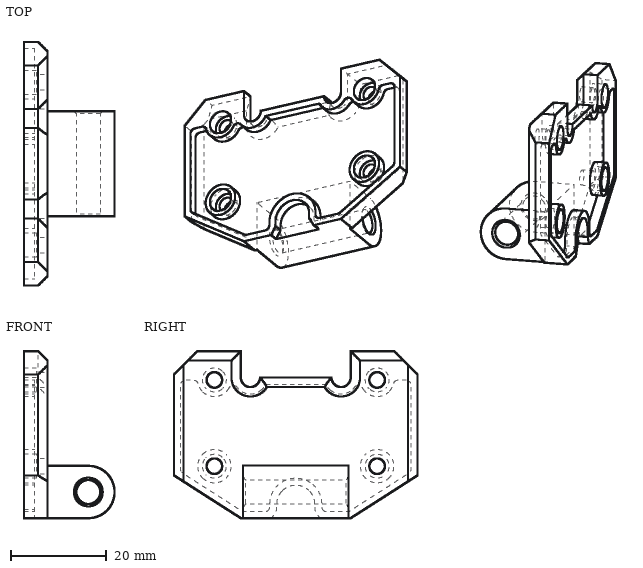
import cadquery as cq
import math

TOLERANCE = 0.05

WIDTH = 51.0
HEIGHT = 35.0
THICKNESS = 5.0
BACK_CHAMFER = 2.0
TOP_CORNER = 4.9
SIDE_BOTTOM_Z = 9.0
BOTTOM_HALF_WIDTH = 11.5

NOTCH_HALF_WIDTH = 11.5
NOTCH_FLOOR_Z = 29.5
RELIEF_RADIUS = 2.0
RELIEF_Y = NOTCH_HALF_WIDTH - RELIEF_RADIUS

POCKET_DEPTH = 2.25
RIM = 1.4
NOTCH_WALL = 1.5
POCKET_TOP_Z = 28.9
POCKET_CORNER_RADIUS = 1.0

HOLE_Y = 17.05
UPPER_HOLE_Z = 28.95
LOWER_HOLE_Z = 10.9
HOLE_DIAMETER = 3.2
COUNTERBORE_DIAMETER = 5.0
COUNTERBORE_DEPTH = 2.65
BOSS_DIAMETER = 7.0

LUG_LENGTH = 19.0
LUG_RADIUS = 5.5
LUG_WIDTH = 22.0
PIN_DIAMETER = 5.0
PIN_CHAMFER = 0.5

ARCH_RADIUS = 4.0
ARCH_CENTER_Z = 2.95
ARCH_FLARE_Z = 1.85
ARCH_MOUTH_HALF_WIDTH = 5.05

SCREW_POINTS = [(y, z) for y in (-HOLE_Y, HOLE_Y) for z in (LOWER_HOLE_Z, UPPER_HOLE_Z)]


def plane_at(x):
    """YZ sketch plane at the given distance behind the front face."""
    return cq.Workplane("YZ", origin=(x, 0, 0))


def block(y_min, y_max, z_min, z_max, depth):
    """Rectangular block starting at the front face."""
    shape = cq.Workplane("XY").box(depth, y_max - y_min, z_max - z_min, centered=False)
    return shape.translate((0, y_min, z_min))


def make_plate():
    half = WIDTH / 2
    right_half = [
        (BOTTOM_HALF_WIDTH, 0),
        (half, SIDE_BOTTOM_Z),
        (half, HEIGHT - TOP_CORNER),
        (half - TOP_CORNER, HEIGHT),
    ]
    left_half = [(-y, z) for y, z in reversed(right_half)]
    plate = plane_at(0).polyline(right_half + left_half).close().extrude(THICKNESS)
    notch = block(-NOTCH_HALF_WIDTH, NOTCH_HALF_WIDTH, NOTCH_FLOOR_Z, HEIGHT, THICKNESS)
    reliefs = (
        plane_at(0)
        .pushPoints([(-RELIEF_Y, NOTCH_FLOOR_Z), (RELIEF_Y, NOTCH_FLOOR_Z)])
        .circle(RELIEF_RADIUS)
        .extrude(THICKNESS)
    )
    plate = plate.cut(notch).cut(reliefs)
    corner_y = half - TOP_CORNER / 2
    corner_z = HEIGHT - TOP_CORNER / 2
    edges = []
    for edge in plate.faces(">X").edges().vals():
        middle = edge.Center()
        on_upper_corner = math.hypot(abs(middle.y) - corner_y, middle.z - corner_z) < TOLERANCE
        if middle.z > SIDE_BOTTOM_Z and not on_upper_corner:
            edges.append(edge)
    return plate.newObject(edges).chamfer(BACK_CHAMFER)


def make_arch(radius, depth):
    """Half-round arch with straight legs down to the bottom edge."""
    return (
        plane_at(0)
        .moveTo(-radius, 0)
        .lineTo(-radius, ARCH_CENTER_Z)
        .threePointArc((0, ARCH_CENTER_Z + radius), (radius, ARCH_CENTER_Z))
        .lineTo(radius, 0)
        .close()
        .extrude(depth)
    )


def make_pocket():
    side_y = WIDTH / 2 - RIM
    slope_angle = math.atan2(SIDE_BOTTOM_Z, WIDTH / 2 - BOTTOM_HALF_WIDTH)
    bottom_y = BOTTOM_HALF_WIDTH - RIM * math.tan(slope_angle / 2)
    slope_top_z = SIDE_BOTTOM_Z + RIM * math.tan(math.pi / 4 - slope_angle / 2)
    right_half = [(bottom_y, RIM), (side_y, slope_top_z), (side_y, POCKET_TOP_Z)]
    left_half = [(-y, z) for y, z in reversed(right_half)]
    pocket = plane_at(0).polyline(right_half + left_half).close().extrude(POCKET_DEPTH)

    ledge_z = NOTCH_FLOOR_Z - NOTCH_WALL
    pocket = pocket.cut(block(-RELIEF_Y, RELIEF_Y, ledge_z, HEIGHT, POCKET_DEPTH))
    for side in (-1, 1):
        relief_wall = plane_at(0).center(side * RELIEF_Y, NOTCH_FLOOR_Z)
        pocket = pocket.cut(relief_wall.circle(RELIEF_RADIUS + NOTCH_WALL).extrude(POCKET_DEPTH))
        upper_boss = plane_at(0).center(side * HOLE_Y, UPPER_HOLE_Z)
        pocket = pocket.cut(upper_boss.circle(BOSS_DIAMETER / 2).extrude(POCKET_DEPTH))
        pocket = pocket.cut(make_web(side))
    pocket = pocket.cut(make_arch(ARCH_RADIUS + NOTCH_WALL, POCKET_DEPTH))

    corners = []
    for edge in pocket.edges("|X").vals():
        middle = edge.Center()
        beside_upper_boss = abs(middle.y) > HOLE_Y
        on_bottom_rim = middle.z < RIM + TOLERANCE
        if beside_upper_boss or on_bottom_rim:
            corners.append(edge)
    pocket = pocket.newObject(corners).fillet(POCKET_CORNER_RADIUS)

    lower_bosses = (
        plane_at(0)
        .pushPoints([(-HOLE_Y, LOWER_HOLE_Z), (HOLE_Y, LOWER_HOLE_Z)])
        .circle(BOSS_DIAMETER / 2)
        .extrude(POCKET_DEPTH)
    )
    return pocket.cut(lower_bosses)


def make_web(side):
    """Web joining an upper boss to the relief wall, its lower edge blended into both."""
    relief_radius = RELIEF_RADIUS + NOTCH_WALL
    boss_radius = BOSS_DIAMETER / 2
    run_y = HOLE_Y - RELIEF_Y
    run_z = UPPER_HOLE_Z - NOTCH_FLOOR_Z
    span = math.hypot(run_y, run_z)
    to_relief = relief_radius + POCKET_CORNER_RADIUS
    to_boss = boss_radius + POCKET_CORNER_RADIUS
    along = (span**2 + to_relief**2 - to_boss**2) / (2 * span)
    below = math.sqrt(to_relief**2 - along**2)
    blend_y = RELIEF_Y + (along * run_y + below * run_z) / span
    blend_z = NOTCH_FLOOR_Z + (along * run_z - below * run_y) / span
    web = (
        plane_at(0)
        .polyline([
            (side * RELIEF_Y, NOTCH_FLOOR_Z),
            (side * blend_y, blend_z),
            (side * HOLE_Y, UPPER_HOLE_Z),
        ])
        .close()
        .extrude(POCKET_DEPTH)
    )
    blend = plane_at(0).center(side * blend_y, blend_z).circle(POCKET_CORNER_RADIUS).extrude(POCKET_DEPTH)
    return web.cut(blend)


def make_arch_recess():
    flare = (
        plane_at(0)
        .polyline([
            (-ARCH_MOUTH_HALF_WIDTH, 0),
            (-ARCH_RADIUS, ARCH_FLARE_Z),
            (ARCH_RADIUS, ARCH_FLARE_Z),
            (ARCH_MOUTH_HALF_WIDTH, 0),
        ])
        .close()
        .extrude(POCKET_DEPTH)
    )
    return make_arch(ARCH_RADIUS, POCKET_DEPTH).union(flare)


def make_screw_holes():
    holes = plane_at(0).pushPoints(SCREW_POINTS).circle(HOLE_DIAMETER / 2).extrude(THICKNESS)
    counterbores = (
        plane_at(0).pushPoints(SCREW_POINTS).circle(COUNTERBORE_DIAMETER / 2).extrude(COUNTERBORE_DEPTH)
    )
    return holes.union(counterbores)


def make_lug():
    pin_x = LUG_LENGTH - LUG_RADIUS
    start_x = (POCKET_DEPTH + THICKNESS) / 2
    lug = (
        cq.Workplane("XZ")
        .moveTo(start_x, 0)
        .lineTo(pin_x, 0)
        .threePointArc((LUG_LENGTH, LUG_RADIUS), (pin_x, 2 * LUG_RADIUS))
        .lineTo(start_x, 2 * LUG_RADIUS)
        .close()
        .extrude(LUG_WIDTH / 2, both=True)
    )
    pin_hole = cq.Workplane("XZ").center(pin_x, LUG_RADIUS).circle(PIN_DIAMETER / 2)
    lug = lug.cut(pin_hole.extrude(LUG_WIDTH / 2, both=True))
    return lug.edges("%CIRCLE").edges(cq.selectors.RadiusNthSelector(0)).chamfer(PIN_CHAMFER)


result = (
    make_plate()
    .union(make_lug())
    .cut(make_pocket())
    .cut(make_arch_recess())
    .cut(make_screw_holes())
)